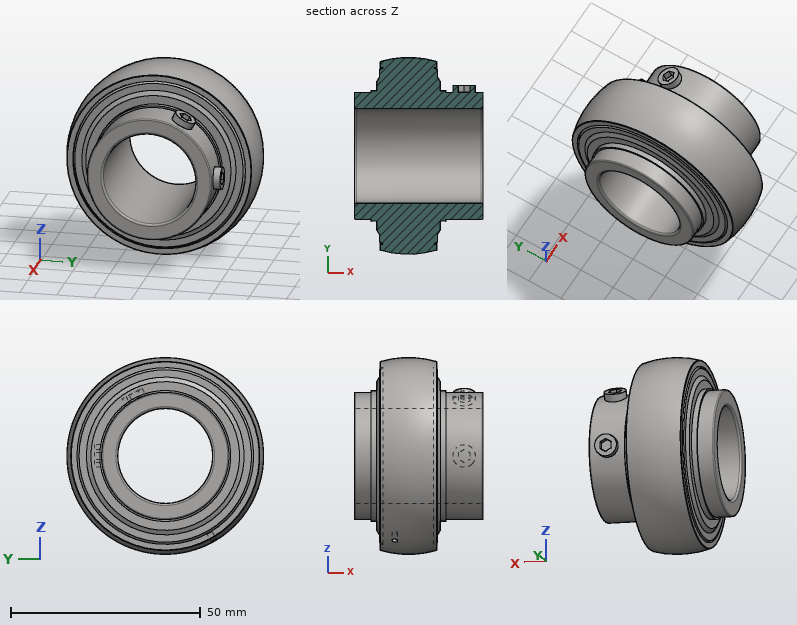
import cadquery as cq
import math


sphere_radius = 26.0
ring_half_width = 7.5
ring_edge_chamfer = 0.15

land_half_width = 7.7
land_radius = 22.7
groove_radius = 23.3
groove_half_width = 6.65

shield_half_width = 8.4
shield_base_radius = 20.8
shield_top_radius = 19.6

inner_left = -14.3
inner_right = 19.7
inner_radius = 16.8
inner_edge_fillet = 0.3
shoulder_half_width = 9.9
shoulder_radius = 17.25
bore_radius = 12.5
bore_edge_fillet = 0.55

screw_x = 14.65
screw_angles = (0, 62)
screw_radius = 2.95
screw_top = 18.6
screw_root = (bore_radius + inner_radius) / 2
socket_flats = 3.0
socket_depth = 1.75

oil_hole_x = -3.6
oil_hole_angle = 240
oil_hole_radius = 0.75
oil_hole_depth = 2.6


def disc(radius, x_start, x_end):
    """Solid cylinder on the X axis between two X positions."""
    return cq.Workplane("YZ", origin=(x_start, 0, 0)).circle(radius).extrude(x_end - x_start)


def radial_plane(x, angle, distance):
    """Workplane facing outwards at a distance from the X axis, its local X along +X."""
    direction = (0, math.cos(math.radians(angle)), math.sin(math.radians(angle)))
    origin = (x, distance * direction[1], distance * direction[2])
    return cq.Workplane(cq.Plane(origin=origin, xDir=(1, 0, 0), normal=direction))


def make_outer_ring():
    """Outer ring with spherical outside, grooves, seal lands and shields, revolved about X."""
    sphere_half_width = ring_half_width - ring_edge_chamfer
    rim_radius = math.sqrt(sphere_radius**2 - sphere_half_width**2)
    profile = (
        cq.Workplane("XY")
        .moveTo(-shield_half_width, 0)
        .lineTo(-shield_half_width, shield_top_radius)
        .lineTo(-land_half_width, shield_base_radius)
        .lineTo(-land_half_width, land_radius)
        .lineTo(-groove_half_width, groove_radius)
        .lineTo(-ring_half_width, groove_radius)
        .lineTo(-ring_half_width, rim_radius - ring_edge_chamfer)
        .lineTo(-sphere_half_width, rim_radius)
        .threePointArc((0, sphere_radius), (sphere_half_width, rim_radius))
        .lineTo(ring_half_width, rim_radius - ring_edge_chamfer)
        .lineTo(ring_half_width, groove_radius)
        .lineTo(groove_half_width, groove_radius)
        .lineTo(land_half_width, land_radius)
        .lineTo(land_half_width, shield_base_radius)
        .lineTo(shield_half_width, shield_top_radius)
        .lineTo(shield_half_width, 0)
        .close()
    )
    return profile.revolve(360, (0, 0, 0), (1, 0, 0))


def make_inner_ring():
    """Inner ring, still without its bore, with rounded ends and a central shoulder."""
    sleeve = disc(inner_radius, inner_left, inner_right).edges("%CIRCLE").fillet(inner_edge_fillet)
    return sleeve.union(disc(shoulder_radius, -shoulder_half_width, shoulder_half_width))


def make_bore():
    """Cutter for the bore, flaring with a rounded edge at both ends."""
    flare_radius = bore_radius + bore_edge_fillet
    arc_offset = bore_edge_fillet * (1 - math.sqrt(0.5))
    profile = (
        cq.Workplane("XY")
        .moveTo(inner_left, 0)
        .lineTo(inner_left, flare_radius)
        .threePointArc(
            (inner_left + arc_offset, bore_radius + arc_offset),
            (inner_left + bore_edge_fillet, bore_radius),
        )
        .lineTo(inner_right - bore_edge_fillet, bore_radius)
        .threePointArc(
            (inner_right - arc_offset, bore_radius + arc_offset),
            (inner_right, flare_radius),
        )
        .lineTo(inner_right, 0)
        .close()
    )
    return profile.revolve(360, (0, 0, 0), (1, 0, 0))


def make_screw(angle):
    """Solid set screw running from inside the inner ring wall to its protruding head."""
    length = screw_top - screw_root
    return radial_plane(screw_x, angle, screw_root).circle(screw_radius).extrude(length)


def make_socket(angle):
    """Cutter for the blind hexagon socket, with two of its flats facing along X."""
    corner_diameter = socket_flats / math.cos(math.radians(30))
    plane = radial_plane(screw_x, angle, screw_top).transformed(rotate=(0, 0, 90))
    return plane.polygon(6, corner_diameter).extrude(-socket_depth)


def make_oil_hole():
    """Cutter for the blind radial lubrication hole."""
    plane = radial_plane(oil_hole_x, oil_hole_angle, sphere_radius)
    return plane.circle(oil_hole_radius).extrude(-oil_hole_depth)


result = make_outer_ring().union(make_inner_ring()).cut(make_bore()).cut(make_oil_hole())
for screw_angle in screw_angles:
    result = result.union(make_screw(screw_angle)).cut(make_socket(screw_angle))